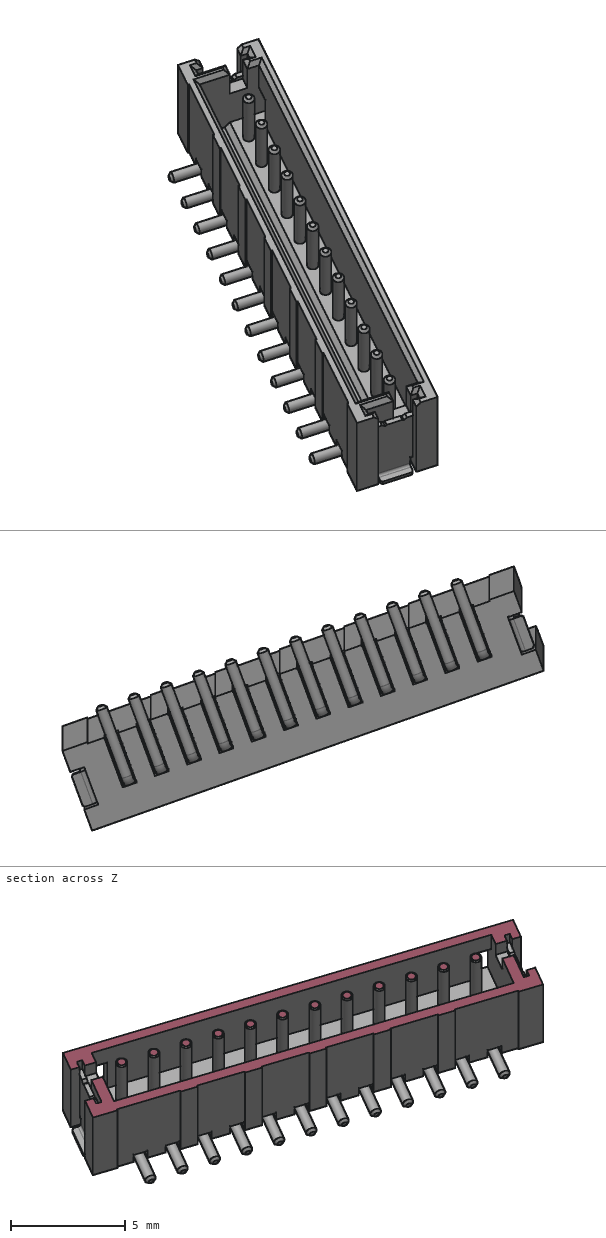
import cadquery as cq


LENGTH = 21.0
HOUSING_DEPTH = 3.8
HOUSING_HEIGHT = 5.0
RIM_CHAMFER = 0.2

CAVITY_INSET = 1.2
CAVITY_BACK = 0.46
CAVITY_FRONT = 3.25
FRONT_FLOOR = 1.05
FLOOR_STEP = 0.25
BACK_FLOOR = FRONT_FLOOR + FLOOR_STEP
STEP_BACK = 1.83

PIN_COUNT = 12
PIN_ROW_LENGTH = 16.5
PIN_PITCH = PIN_ROW_LENGTH / (PIN_COUNT - 1)
PIN_DIAMETER = 0.5
PIN_DEPTH = 1.36
PIN_TOP = 4.25
PIN_AXIS_HEIGHT = 0.15
PIN_REACH = 5.1
PIN_BEND_RADIUS = 0.42
PIN_TIP_CHAMFER = 0.13
PIN_SLOT_WIDTH = 0.65
PIN_SLOT_HEIGHT = 0.5

RIB_RELIEF = 0.06
RIB_WIDTH = 0.8
END_RIB_WIDTH = 1.15
RIB_COUNT = 5
RIB_PITCH = 2 * PIN_PITCH

TAB_OUTER_INSET = 0.42
TAB_THICKNESS = 0.23
TAB_INNER_INSET = TAB_OUTER_INSET + TAB_THICKNESS
TAB_BACK = 0.74
TAB_FRONT = 3.0
TAB_TOP = 3.61
TAB_SHOULDER = 0.59
GROOVE_BACK = 0.7
GROOVE_FRONT = 3.1
FOOT_BACK = 1.13
FOOT_FRONT = 2.67
FOOT_THICKNESS = 0.19
FOOT_CORNER = 0.08
FOOT_INNER_RADIUS = 0.13
FOOT_OUTER_RADIUS = 0.2
FOOT_BOTTOM = PIN_AXIS_HEIGHT - PIN_DIAMETER / 2
NICK_SPACING = 0.88
NICK_WIDTH = 0.3
NICK_DEPTH = 0.13
TAB_CROWN_DROP = 0.06

END_OPENING_BACK = 1.0
END_OPENING_FRONT = 2.8
NOTCH_FLOOR = 3.4
WINDOW_WIDTH = 0.71
WINDOW_TOP = 3.15


def end_x(inset):
    """X of a plane at the given inset from the left end."""
    return inset - LENGTH / 2


def block(x_range, depth_range, z_range):
    """Box between pairs of X, depth and Z limits."""
    (x0, x1), (d0, d1), (z0, z1) = x_range, depth_range, z_range
    return cq.Workplane("XY").box(x1 - x0, d1 - d0, z1 - z0, centered=False).translate((x0, -d1, z0))


def both_ends(shape):
    """The left-end shape together with its mirror image at the right end."""
    return shape.union(shape.mirror("YZ"))


def well(x_range, depth_range, floor):
    """Pocket from the top of the housing down to a floor, with a 45 degree chamfered mouth."""
    (x0, x1), (d0, d1) = x_range, depth_range
    mouth = (
        cq.Workplane("XY", origin=((x0 + x1) / 2, -(d0 + d1) / 2, HOUSING_HEIGHT))
        .rect(x1 - x0 + 2 * RIM_CHAMFER, d1 - d0 + 2 * RIM_CHAMFER)
        .extrude(-RIM_CHAMFER, taper=45)
    )
    return block(x_range, depth_range, (floor, HOUSING_HEIGHT)).union(mouth)


def pin_positions():
    """X of every pin axis."""
    return [(i - (PIN_COUNT - 1) / 2) * PIN_PITCH for i in range(PIN_COUNT)]


def shell():
    """Solid outline of the housing with the ribs standing proud of the front face."""
    recessed_depth = HOUSING_DEPTH - RIB_RELIEF
    height = (0, HOUSING_HEIGHT)
    body = block((end_x(0), end_x(LENGTH)), (0, recessed_depth), height)
    rib_depth = (recessed_depth, HOUSING_DEPTH)
    body = body.union(both_ends(block((end_x(0), end_x(END_RIB_WIDTH)), rib_depth, height)))
    for i in range(RIB_COUNT):
        x = (i - (RIB_COUNT - 1) / 2) * RIB_PITCH
        body = body.union(block((x - RIB_WIDTH / 2, x + RIB_WIDTH / 2), rib_depth, height))
    return body


def cavity():
    """Main cavity, whose floor is higher at the back and slopes down at 45 degrees to the front level."""
    x_range = (end_x(CAVITY_INSET), -end_x(CAVITY_INSET))
    ledge = (
        cq.Workplane("YZ", origin=(x_range[0], 0, 0))
        .moveTo(-CAVITY_BACK, FRONT_FLOOR)
        .lineTo(-STEP_BACK - FLOOR_STEP, FRONT_FLOOR)
        .lineTo(-STEP_BACK, BACK_FLOOR)
        .lineTo(-CAVITY_BACK, BACK_FLOOR)
        .close()
        .extrude(x_range[1] - x_range[0])
    )
    return well(x_range, (CAVITY_BACK, CAVITY_FRONT), FRONT_FLOOR).cut(ledge)


def end_openings():
    """Tab groove down to the tab shoulders, outer opening, end-wall notch and window at both ends."""
    groove = well(
        (end_x(TAB_OUTER_INSET), end_x(TAB_INNER_INSET)),
        (GROOVE_BACK, GROOVE_FRONT),
        TAB_SHOULDER,
    )
    outer = well((end_x(0), end_x(TAB_INNER_INSET)), (END_OPENING_BACK, END_OPENING_FRONT), 0)
    notch = well((end_x(TAB_INNER_INSET), end_x(CAVITY_INSET)), (END_OPENING_BACK, STEP_BACK), NOTCH_FLOOR)
    window = block(
        (end_x(CAVITY_INSET), end_x(CAVITY_INSET + WINDOW_WIDTH)),
        (0, CAVITY_BACK),
        (BACK_FLOOR, WINDOW_TOP),
    )
    return both_ends(groove.union(outer).union(notch).union(window))


def pin_slot(x):
    """Slot in the underside that lets a pin leave through the front face."""
    return block(
        (x - PIN_SLOT_WIDTH / 2, x + PIN_SLOT_WIDTH / 2),
        (PIN_DEPTH, HOUSING_DEPTH),
        (0, PIN_SLOT_HEIGHT),
    )


def pin(x):
    """Round pin standing in the cavity and bent forward along the underside."""
    bend_top = PIN_AXIS_HEIGHT + PIN_BEND_RADIUS
    radius = PIN_DIAMETER / 2
    upright = (
        cq.Workplane("XY", origin=(x, -PIN_DEPTH, bend_top))
        .circle(radius)
        .extrude(PIN_TOP - bend_top)
        .faces(">Z")
        .chamfer(PIN_TIP_CHAMFER)
    )
    bend = (
        cq.Workplane("XY", origin=(x, -PIN_DEPTH, bend_top))
        .circle(radius)
        .revolve(90, (0.2, -PIN_BEND_RADIUS, 0), (0, -PIN_BEND_RADIUS, 0))
    )
    tail = (
        cq.Workplane("XZ", origin=(x, -PIN_DEPTH - PIN_BEND_RADIUS, PIN_AXIS_HEIGHT))
        .circle(radius)
        .extrude(PIN_REACH - PIN_DEPTH - PIN_BEND_RADIUS)
        .faces("<Y")
        .chamfer(PIN_TIP_CHAMFER)
    )
    return upright.union(bend).union(tail)


def solder_tab():
    """Left solder tab: an upright plate with a nicked top edge and a foot bent outward."""
    plate_x = (end_x(TAB_OUTER_INSET), end_x(TAB_INNER_INSET))
    plate = block(plate_x, (TAB_BACK, TAB_FRONT), (TAB_SHOULDER, TAB_TOP))

    middle = (TAB_BACK + TAB_FRONT) / 2
    crown = (middle - NICK_SPACING / 2, middle + NICK_SPACING / 2)
    plate = plate.cut(block(plate_x, crown, (TAB_TOP - TAB_CROWN_DROP, TAB_TOP)))
    for depth in crown:
        nick = (
            cq.Workplane("YZ", origin=(plate_x[0], -depth, TAB_TOP))
            .polyline([(-NICK_WIDTH / 2, 0), (0, -NICK_DEPTH), (NICK_WIDTH / 2, 0)])
            .close()
            .extrude(TAB_THICKNESS)
        )
        plate = plate.cut(nick)

    foot_depth = (FOOT_BACK, FOOT_FRONT)
    foot_top = FOOT_BOTTOM + FOOT_THICKNESS
    leg = block(plate_x, foot_depth, (FOOT_BOTTOM, TAB_SHOULDER))
    foot = block((end_x(0), plate_x[0]), foot_depth, (FOOT_BOTTOM, foot_top))
    foot = foot.edges("|Z and <X").chamfer(FOOT_CORNER)
    bent = leg.union(foot)
    inner_corner = cq.selectors.NearestToPointSelector((plate_x[0], -middle, foot_top))
    bent = bent.edges(inner_corner).fillet(FOOT_INNER_RADIUS)
    bent = bent.faces("<Z").edges(">X").fillet(FOOT_OUTER_RADIUS)
    return plate.union(bent)


result = shell().cut(cavity()).cut(end_openings())
for pin_x in pin_positions():
    result = result.cut(pin_slot(pin_x)).union(pin(pin_x))
result = result.union(both_ends(solder_tab()))